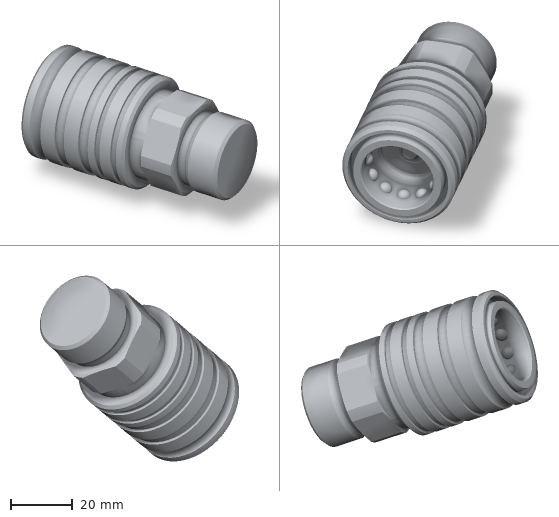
import cadquery as cq
import math

LENGTH = 71.5
ARC_MIDPOINT = math.sqrt(0.5)

SLEEVE_DIAMETER = 38.0
SLEEVE_START = 1.0
SLEEVE_END = 39.9
FRONT_CHAMFER_LENGTH = 1.1
REAR_CHAMFER_LENGTH = 0.85
CHAMFER_HEIGHT = 1.0
RECESS_DIAMETER = 33.75
RECESS_DEPTH = 4.3
FINGER_GROOVE_START = 4.65
FINGER_GROOVE_END = 8.7
FINGER_GROOVE_DEPTH = 1.4
GRIP_GROOVE_DEPTH = 0.9
GRIP_GROOVES = [(14.0, 17.5), (22.9, 26.5), (28.95, 30.9), (34.95, 37.1)]

BARREL_DIAMETER = 30.0
NOSE_DIAMETER = 29.45
NOSE_TAPER_LENGTH = 1.3
HEX_SIDES = 6
HEX_START = 44.55
HEX_END = 56.5
BARREL_FLAT_WIDTH = 2.3
HEX_ACROSS_FLATS = math.sqrt(BARREL_DIAMETER**2 - BARREL_FLAT_WIDTH**2)
HEX_CORNER_DIAMETER = 32.45
HEX_CHAMFER_LENGTH = 0.35
NECK_DIAMETER = 24.75
NECK_END = 59.1
SPIGOT_DIAMETER = 27.0
SPIGOT_START = 61.0
SPIGOT_CHAMFER = 1.0

SOCKET_DIAMETER = 24.2
MOUTH_DIAMETER = 24.9
MOUTH_CHAMFER_LENGTH = 0.4
CONE_START = 13.0
CONE_END = 13.7
THROAT_DIAMETER = 20.6
SEAL_START = 14.4
SEAL_RADIUS = 1.3
SEAL_INNER_DIAMETER = 20.0
SOCKET_END = 17.15
POPPET_HOLE_DIAMETER = 11.1
POPPET_HOLE_DEPTH = 0.35
POPPET_DIAMETER = 10.7
POPPET_TIP_DIAMETER = 4.7
BALL_COUNT = 12
BALL_DIAMETER = 4.5
BALL_POSITION = 7.9
BALL_CIRCLE_DIAMETER = 25.25


def revolve_about_x(profile):
    return profile.close().revolve(360, (0, 0, 0), (1, 0, 0))


def ring(start, end, inner_radius, outer_radius):
    return (
        cq.Workplane("YZ", origin=(start, 0, 0))
        .circle(outer_radius)
        .circle(inner_radius)
        .extrude(end - start)
    )


def make_sleeve():
    outer = SLEEVE_DIAMETER / 2
    bore = BARREL_DIAMETER / 2
    recess = RECESS_DIAMETER / 2
    groove_middle = (FINGER_GROOVE_START + FINGER_GROOVE_END) / 2
    recess_floor = SLEEVE_START + RECESS_DEPTH
    sleeve = revolve_about_x(
        cq.Workplane("XY")
        .moveTo(SLEEVE_START, recess)
        .lineTo(SLEEVE_START, outer - CHAMFER_HEIGHT)
        .lineTo(SLEEVE_START + FRONT_CHAMFER_LENGTH, outer)
        .lineTo(FINGER_GROOVE_START, outer)
        .threePointArc((groove_middle, outer - FINGER_GROOVE_DEPTH), (FINGER_GROOVE_END, outer))
        .lineTo(SLEEVE_END - REAR_CHAMFER_LENGTH, outer)
        .lineTo(SLEEVE_END, outer - CHAMFER_HEIGHT)
        .lineTo(SLEEVE_END, bore)
        .lineTo(recess_floor, bore)
        .lineTo(recess_floor, recess)
    )
    for start, end in GRIP_GROOVES:
        sleeve = sleeve.cut(ring(start, end, outer - GRIP_GROOVE_DEPTH, outer))
    return sleeve


def make_body_blank():
    barrel = BARREL_DIAMETER / 2
    corner = HEX_CORNER_DIAMETER / 2
    neck = NECK_DIAMETER / 2
    spigot = SPIGOT_DIAMETER / 2
    return revolve_about_x(
        cq.Workplane("XY")
        .moveTo(0, 0)
        .lineTo(0, NOSE_DIAMETER / 2)
        .lineTo(NOSE_TAPER_LENGTH, barrel)
        .lineTo(HEX_START, barrel)
        .lineTo(HEX_START + HEX_CHAMFER_LENGTH, corner)
        .lineTo(HEX_END - HEX_CHAMFER_LENGTH, corner)
        .lineTo(HEX_END, barrel)
        .lineTo(HEX_END, neck)
        .lineTo(NECK_END, neck)
        .lineTo(SPIGOT_START, spigot)
        .lineTo(LENGTH - SPIGOT_CHAMFER, spigot)
        .lineTo(LENGTH, spigot - SPIGOT_CHAMFER)
        .lineTo(LENGTH, 0)
    )


def cut_hex_flats(body):
    waste = (
        cq.Workplane("YZ", origin=(SLEEVE_END, 0, 0))
        .circle(HEX_ACROSS_FLATS)
        .polygon(HEX_SIDES, HEX_ACROSS_FLATS, circumscribed=True)
        .extrude(HEX_END - SLEEVE_END)
        .rotate((0, 0, 0), (1, 0, 0), 180 / HEX_SIDES)
    )
    return body.cut(waste)


def make_socket():
    socket = SOCKET_DIAMETER / 2
    throat = THROAT_DIAMETER / 2
    seal = SEAL_INNER_DIAMETER / 2
    poppet = POPPET_DIAMETER / 2
    tip = POPPET_TIP_DIAMETER / 2
    flare = poppet - tip
    hole = POPPET_HOLE_DIAMETER / 2
    hole_floor = SOCKET_END + POPPET_HOLE_DEPTH
    seal_middle = (
        SEAL_START + SEAL_RADIUS * (1 - ARC_MIDPOINT),
        seal + SEAL_RADIUS * (1 - ARC_MIDPOINT),
    )
    flare_middle = (
        hole_floor - flare * (1 - ARC_MIDPOINT),
        poppet - flare * ARC_MIDPOINT,
    )
    return revolve_about_x(
        cq.Workplane("XY")
        .moveTo(0, 0)
        .lineTo(0, MOUTH_DIAMETER / 2)
        .lineTo(MOUTH_CHAMFER_LENGTH, socket)
        .lineTo(CONE_START, socket)
        .lineTo(CONE_END, throat)
        .lineTo(SEAL_START, throat)
        .lineTo(SEAL_START, seal + SEAL_RADIUS)
        .threePointArc(seal_middle, (SEAL_START + SEAL_RADIUS, seal))
        .lineTo(SOCKET_END, seal)
        .lineTo(SOCKET_END, hole)
        .lineTo(hole_floor, hole)
        .lineTo(hole_floor, poppet)
        .threePointArc(flare_middle, (hole_floor - flare, tip))
        .lineTo(hole_floor - flare, 0)
    )


def add_balls(body):
    for i in range(BALL_COUNT):
        ball = (
            cq.Workplane("XY")
            .sphere(BALL_DIAMETER / 2)
            .translate((BALL_POSITION, 0, BALL_CIRCLE_DIAMETER / 2))
            .rotate((0, 0, 0), (1, 0, 0), i * 360 / BALL_COUNT)
        )
        body = body.union(ball)
    return body


def make_body():
    body = cut_hex_flats(make_body_blank())
    body = body.cut(make_socket())
    return add_balls(body)


sleeve = make_sleeve()
body = make_body()
result = cq.Compound.makeCompound([sleeve.val(), body.val()])